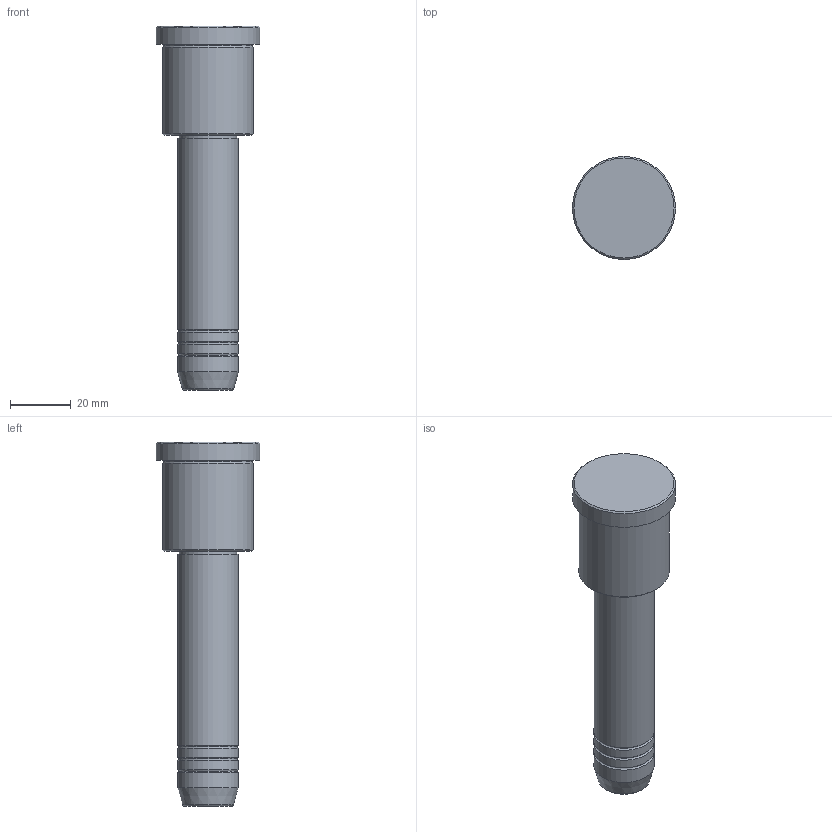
import cadquery as cq
import math

TOTAL_LENGTH = 120.0
HEAD_RADIUS = 17.0
HEAD_THICKNESS = 6.0
HEAD_CHAMFER = 0.5

BODY_RADIUS = 15.0
BODY_LENGTH = 30.0
BODY_CHAMFER = 0.5

SHANK_RADIUS = 10.0
TIP_LENGTH = 6.0
TIP_ANGLE = 15.0
TIP_FILLET = 0.5

UNDERCUT_WIDTH = 1.0
UNDERCUT_DEPTH = 0.5

GROOVE_RADIUS = 0.5
GROOVE_COUNT = 3
GROOVE_PITCH = 4.0
LOWEST_GROOVE_HEIGHT = 11.5

HEAD_BOTTOM = TOTAL_LENGTH - HEAD_THICKNESS
BODY_BOTTOM = HEAD_BOTTOM - BODY_LENGTH


def cylinder(radius, bottom, top):
    return cq.Workplane("XY").workplane(offset=bottom).circle(radius).extrude(top - bottom)


def revolve_about_axis(profile):
    """Turn a radius-height profile a full turn about the pin axis, one face per profile edge."""
    return profile.revolve(360, (0, 0, 0), (0, 1, 0), clean=False)


def head():
    disc = cylinder(HEAD_RADIUS, HEAD_BOTTOM, TOTAL_LENGTH)
    return disc.faces(">Z").edges().chamfer(HEAD_CHAMFER)


def body():
    barrel = cylinder(BODY_RADIUS, BODY_BOTTOM, HEAD_BOTTOM)
    return barrel.faces("<Z").edges().chamfer(BODY_CHAMFER)


def shank():
    tip_radius = SHANK_RADIUS - TIP_LENGTH * math.tan(math.radians(TIP_ANGLE))
    profile = (
        cq.Workplane("XZ")
        .lineTo(tip_radius, 0)
        .lineTo(SHANK_RADIUS, TIP_LENGTH)
        .lineTo(SHANK_RADIUS, BODY_BOTTOM)
        .lineTo(0, BODY_BOTTOM)
        .close()
    )
    bar = revolve_about_axis(profile)
    return bar.faces("<Z").edges().fillet(TIP_FILLET)


def shank_undercut():
    """Square ring cut directly below the body."""
    bottom = BODY_BOTTOM - UNDERCUT_WIDTH
    outer = cylinder(SHANK_RADIUS, bottom, BODY_BOTTOM)
    core = cylinder(SHANK_RADIUS - UNDERCUT_DEPTH, bottom, BODY_BOTTOM)
    return outer.cut(core)


def groove(surface_radius, height):
    """Half-round ring cut centred on a cylinder's surface, made of two quarter arcs."""
    diagonal = GROOVE_RADIUS * math.sqrt(0.5)
    floor_radius = surface_radius - GROOVE_RADIUS
    profile = (
        cq.Workplane("XZ")
        .moveTo(surface_radius, height - GROOVE_RADIUS)
        .threePointArc((surface_radius - diagonal, height - diagonal), (floor_radius, height))
        .threePointArc(
            (surface_radius - diagonal, height + diagonal),
            (surface_radius, height + GROOVE_RADIUS),
        )
        .close()
    )
    return revolve_about_axis(profile)


result = shank().union(body()).union(head())
result = result.cut(shank_undercut())
result = result.cut(groove(BODY_RADIUS, HEAD_BOTTOM - GROOVE_RADIUS), clean=False)
for index in range(GROOVE_COUNT):
    height = LOWEST_GROOVE_HEIGHT + index * GROOVE_PITCH
    result = result.cut(groove(SHANK_RADIUS, height), clean=False)